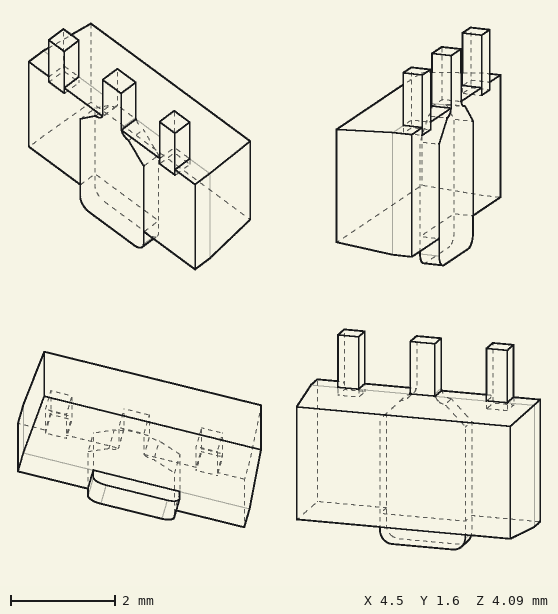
import cadquery as cq
import math

housing_width = 4.5
housing_height = 2.445
housing_depth = 1.6
draft_inset = 0.095

metal_thickness = 0.4
lead_projection = 1.05

lead_width = 0.42
lead_pitch = 1.5
lead_insertion = 0.155

tab_width = 1.72
tab_projection = 0.6
tab_corner_radius = 0.25
neck_width = 0.5
neck_fillet = 0.2
shoulder_depth = 0.145

housing_top = housing_height / 2
lead_top = housing_top + lead_projection


def make_tab():
    """Flat tab with rounded lower corners, 45 degree shoulders and a filleted neck."""
    half_tab = tab_width / 2
    half_neck = neck_width / 2
    bottom = -housing_height / 2 - tab_projection
    shoulder_top = housing_top - shoulder_depth
    shoulder_x = half_neck + neck_fillet
    shoulder_bottom = shoulder_top - (half_tab - shoulder_x)
    fillet_top = shoulder_top + neck_fillet
    fillet_mid_offset = neck_fillet * math.sqrt(0.5)
    fillet_mid_x = shoulder_x - fillet_mid_offset
    fillet_mid_z = fillet_top - fillet_mid_offset
    return (
        cq.Workplane("XZ")
        .moveTo(-half_tab, bottom)
        .lineTo(half_tab, bottom)
        .lineTo(half_tab, shoulder_bottom)
        .lineTo(shoulder_x, shoulder_top)
        .threePointArc((fillet_mid_x, fillet_mid_z), (half_neck, fillet_top))
        .lineTo(half_neck, lead_top)
        .lineTo(-half_neck, lead_top)
        .lineTo(-half_neck, fillet_top)
        .threePointArc((-fillet_mid_x, fillet_mid_z), (-shoulder_x, shoulder_top))
        .lineTo(-half_tab, shoulder_bottom)
        .close()
        .extrude(-metal_thickness)
        .edges("|Y")
        .edges("<Z")
        .fillet(tab_corner_radius)
    )


def make_side_lead(x):
    """Straight rectangular lead centred on x."""
    length = lead_projection + lead_insertion
    return cq.Workplane("XY").box(
        lead_width, metal_thickness, length, centered=(True, False, False)
    ).translate((x, 0, lead_top - length))


def make_housing(inserts):
    """Straight front band and tapered back, with a recess for each metal insert."""
    band = cq.Workplane("XZ").rect(housing_width, housing_height).extrude(-metal_thickness)
    taper = (
        cq.Workplane("XZ", origin=(0, metal_thickness, 0))
        .rect(housing_width, housing_height)
        .workplane(offset=metal_thickness - housing_depth)
        .rect(housing_width - 2 * draft_inset, housing_height - 2 * draft_inset)
        .loft(ruled=True)
    )
    housing = band.union(taper)
    for insert in inserts:
        housing = housing.cut(insert)
    return housing


tab = make_tab()
side_leads = [make_side_lead(side * lead_pitch) for side in (-1, 1)]
housing = make_housing([tab, *side_leads])

result = cq.Compound.makeCompound(
    [housing.val(), tab.val(), *[lead.val() for lead in side_leads]]
)